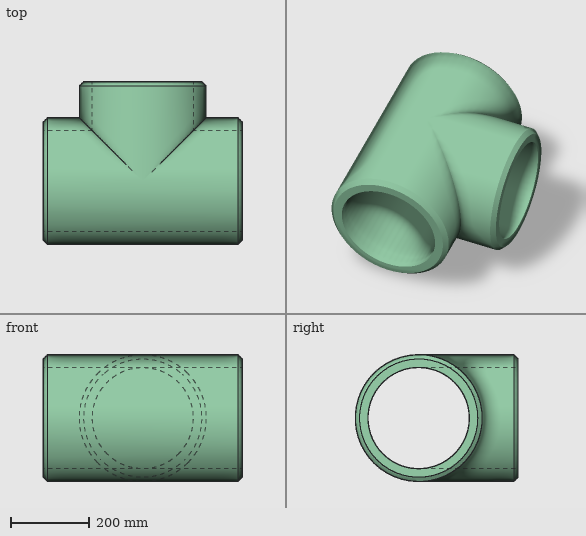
import cadquery as cq

run_length = 508.0
outer_diameter = 324.0
bore_diameter = 258.0
end_chamfer = 11.0

branch_reach = run_length / 2


def branch(diameter):
    """Solid cylinder from the tee centre out to the branch mouth."""
    mouth_plane = cq.Plane(origin=(0, 0, 0), xDir=(0, 0, 1), normal=(0, 1, 0))
    return cq.Workplane(mouth_plane).circle(diameter / 2).extrude(branch_reach)


def run(diameter):
    """Solid cylinder along the full run, centred on the tee."""
    return cq.Workplane("YZ").circle(diameter / 2).extrude(run_length / 2, both=True)


outer_run = run(outer_diameter).faces("<X or >X").edges().chamfer(end_chamfer)
outer_branch = branch(outer_diameter).faces(">Y").edges().chamfer(end_chamfer)
body = outer_run.union(outer_branch)

bore = run(bore_diameter).union(branch(bore_diameter))

result = body.cut(bore)